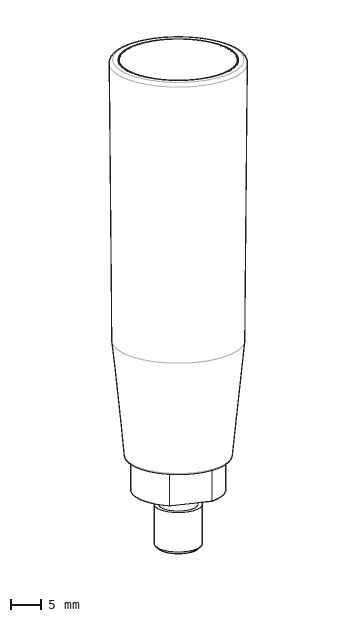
import cadquery as cq

total_height = 86.0
stud_top = 7.5
collar_bottom = 10.1
grip_bottom = 15.9
grip_seam = 36.5

stud_diameter = 8.0
neck_diameter = 6.5
collar_diameter = 15.8
collar_flat_width = 14.0
grip_bottom_diameter = 17.9
grip_seam_diameter = 22.1
grip_top_diameter = 23.0
cap_diameter = 19.8

stud_chamfer = 0.5
grip_bottom_fillet = 0.35
grip_top_fillet = 0.6
groove_width = 0.2
groove_depth = 0.3


def cylinder(diameter, bottom, top):
    """Cylinder on the Z axis between two heights."""
    return cq.Workplane("XY").workplane(offset=bottom).circle(diameter / 2).extrude(top - bottom)


def make_stud():
    """Chamfered stud with a relief neck under the collar."""
    stud = cylinder(stud_diameter, 0, stud_top).faces("<Z").chamfer(stud_chamfer)
    return stud.union(cylinder(neck_diameter, stud_top, collar_bottom))


def make_collar():
    """Round collar with two wrench flats facing -X and +X."""
    height = grip_bottom - collar_bottom
    flats = (
        cq.Workplane("XY")
        .workplane(offset=collar_bottom)
        .rect(collar_flat_width, collar_diameter)
        .extrude(height)
    )
    return cylinder(collar_diameter, collar_bottom, grip_bottom).intersect(flats)


def make_grip():
    """Revolved grip: steep lower cone and slender upper cone, rounded at both ends."""
    grip = (
        cq.Workplane("XZ")
        .moveTo(0, grip_bottom)
        .lineTo(grip_bottom_diameter / 2, grip_bottom)
        .lineTo(grip_seam_diameter / 2, grip_seam)
        .lineTo(grip_top_diameter / 2, total_height)
        .lineTo(0, total_height)
        .close()
        .revolve(360, (0, 0, 0), (0, 1, 0))
    )
    grip = grip.faces("<Z").edges().fillet(grip_bottom_fillet)
    return grip.faces(">Z").edges().fillet(grip_top_fillet)


def make_cap_groove():
    """Narrow ring cut that outlines the cap in the top face."""
    groove_bottom = total_height - groove_depth
    outer = cylinder(cap_diameter + groove_width, groove_bottom, total_height)
    return outer.cut(cylinder(cap_diameter - groove_width, groove_bottom, total_height))


result = make_stud().union(make_collar()).union(make_grip()).cut(make_cap_groove())